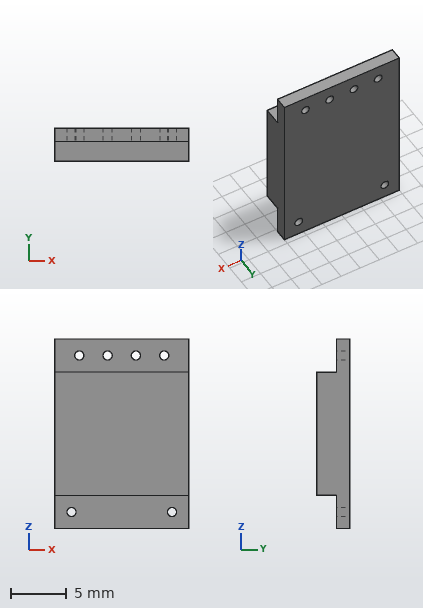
import cadquery as cq

width = 12.0
height = 17.0
depth = 3.0

plate_thickness = 1.2
flange_height = 3.0
block_height = height - 2 * flange_height

hole_diameter = 0.8
top_hole_count = 4
top_hole_pitch = 2.53
bottom_hole_count = 2
bottom_hole_pitch = 9.0
hole_row_height = (height - flange_height) / 2

back_face = depth / 2
plate_front_face = back_face - plate_thickness


def hole_row(count, pitch, row_height):
    """Row of through-hole cutters along X, centred on the plate width."""
    first_x = -pitch * (count - 1) / 2
    centres = [(first_x + i * pitch, row_height) for i in range(count)]
    return (
        cq.Workplane("XZ", origin=(0, back_face, 0))
        .pushPoints(centres)
        .circle(hole_diameter / 2)
        .extrude(plate_thickness)
    )


plate = cq.Workplane("XZ", origin=(0, back_face, 0)).rect(width, height).extrude(plate_thickness)
block = (
    cq.Workplane("XZ", origin=(0, plate_front_face, 0))
    .rect(width, block_height)
    .extrude(depth - plate_thickness)
)

result = (
    plate.union(block)
    .cut(hole_row(top_hole_count, top_hole_pitch, hole_row_height))
    .cut(hole_row(bottom_hole_count, bottom_hole_pitch, -hole_row_height))
)